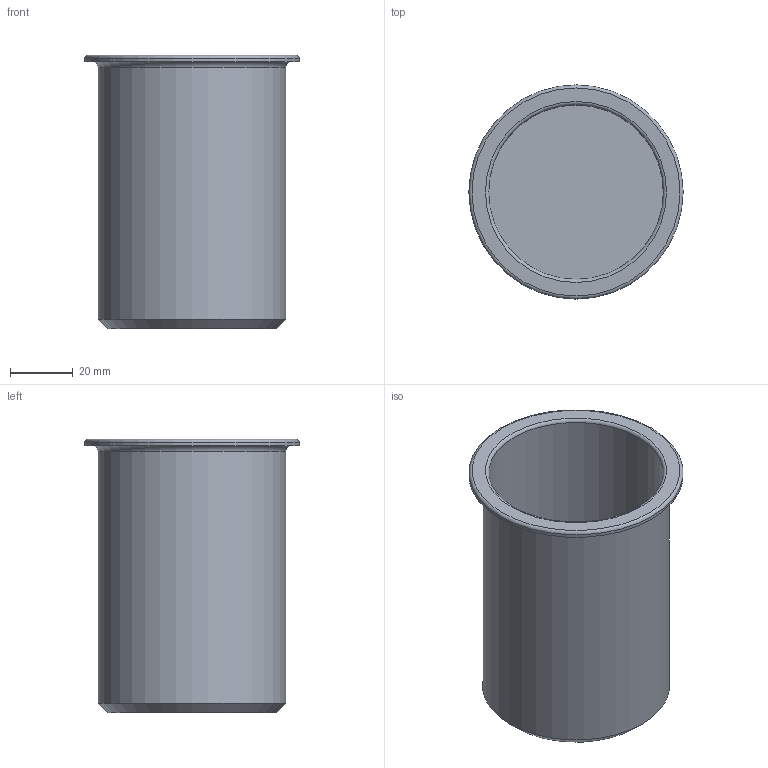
import cadquery as cq

total_height = 87.0
body_diameter = 59.6
wall = 2.0
floor_thickness = 5.0
flange_diameter = 68.2
flange_thickness = 2.0

bottom_chamfer = 3.0
rim_radius = 1.0
neck_radius = 2.0

bore_diameter = body_diameter - 2 * wall
bore_depth = total_height - floor_thickness
flange_underside = total_height - flange_thickness


def make_body():
    """Solid cylinder with a chamfered foot, centred on the Z axis."""
    cylinder = cq.Workplane("XY").circle(body_diameter / 2).extrude(total_height)
    return cylinder.faces("<Z").edges().chamfer(bottom_chamfer)


def make_flange():
    """Flat disc that forms the collar at the open end."""
    return (
        cq.Workplane("XY")
        .workplane(offset=flange_underside)
        .circle(flange_diameter / 2)
        .extrude(flange_thickness)
    )


def make_neck_fillet():
    """Solid of revolution that blends the body into the flange underside."""
    body_radius = body_diameter / 2
    return (
        cq.Workplane("XZ")
        .moveTo(0, flange_underside)
        .lineTo(body_radius + neck_radius, flange_underside)
        .radiusArc((body_radius, flange_underside - neck_radius), -neck_radius)
        .lineTo(0, flange_underside - neck_radius)
        .close()
        .revolve(360, (0, 0), (0, 1))
    )


def cut_bore(blank):
    """Blind bore from the open end, leaving the floor."""
    return blank.faces(">Z").workplane(origin=(0, 0, 0)).circle(bore_diameter / 2).cutBlind(-bore_depth)


def round_rim(cup):
    """Round both circular edges of the top face."""
    return cup.faces(">Z").edges().fillet(rim_radius)


blank = make_body().union(make_flange()).union(make_neck_fillet())
result = round_rim(cut_bore(blank))